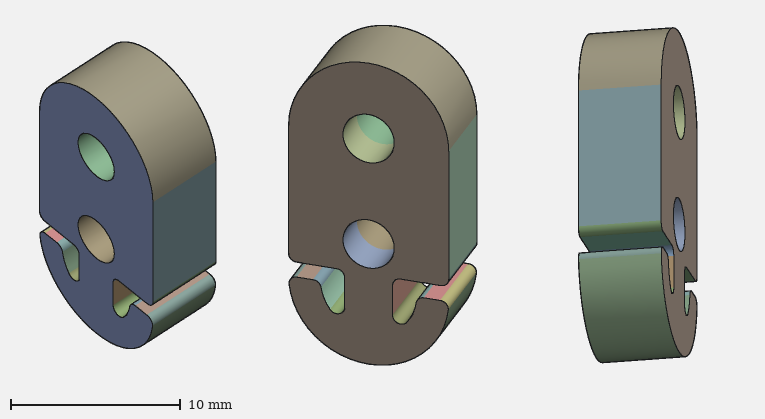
import cadquery as cq

height = 19.98
width = 10.0
thickness = 5.0
end_radius = width / 2

body_bottom = 6.0
neck_width = 3.0
slot_outer_radius = 3.0
corner_radius = 0.5

hole_diameter = 3.2
hole_spacing = 7.0
upper_hole_z = height - end_radius


def extrude_profile(profile):
    """Extrude an XZ profile symmetrically about the XZ plane."""
    return profile.extrude(thickness / 2, both=True)


def make_body():
    """Upright plate with a full-round top and rounded lower corners."""
    profile = (
        cq.Workplane("XZ")
        .moveTo(-end_radius, body_bottom)
        .lineTo(end_radius, body_bottom)
        .lineTo(end_radius, upper_hole_z)
        .threePointArc((0, height), (-end_radius, upper_hole_z))
        .close()
    )
    return extrude_profile(profile)


def make_hook():
    """Half-ring open towards the body."""
    profile = (
        cq.Workplane("XZ")
        .moveTo(-end_radius, end_radius)
        .threePointArc((0, 0), (end_radius, end_radius))
        .lineTo(slot_outer_radius, end_radius)
        .threePointArc((0, end_radius - slot_outer_radius), (-slot_outer_radius, end_radius))
        .close()
    )
    return extrude_profile(profile)


def make_neck():
    """Central web from inside the hook to inside the body."""
    neck_bottom = (end_radius - slot_outer_radius) / 2
    neck_top = body_bottom + corner_radius
    neck_height = neck_top - neck_bottom
    profile = (
        cq.Workplane("XZ")
        .center(0, neck_bottom + neck_height / 2)
        .rect(neck_width, neck_height)
    )
    return extrude_profile(profile)


def make_holes():
    """Cutters for the two through holes."""
    profile = (
        cq.Workplane("XZ")
        .pushPoints([(0, upper_hole_z), (0, upper_hole_z - hole_spacing)])
        .circle(hole_diameter / 2)
    )
    return extrude_profile(profile)


outline = make_body().union(make_hook()).union(make_neck())

lower_corners = cq.selectors.BoxSelector(
    (-width, -thickness, 0),
    (width, thickness, body_bottom + corner_radius),
)
outline = outline.edges("|Y").edges(lower_corners).fillet(corner_radius)

result = outline.cut(make_holes())